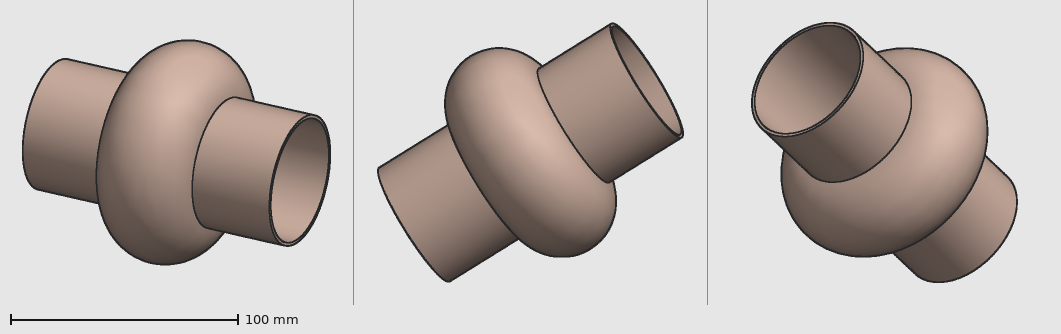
import cadquery as cq

pipe_length = 122.0
pipe_diameter = 59.0
bore_diameter = 56.0

ring_diameter = 100.0
ring_width = 46.0
ring_section_radius = ring_width / 2
ring_center_radius = ring_diameter / 2 - ring_section_radius


def cylinder_along_x(diameter):
    """Cylinder of the full pipe length, centred on the origin."""
    return cq.Workplane("YZ").circle(diameter / 2).extrude(pipe_length / 2, both=True)


def rounded_ring():
    """Disc along X with a fully rounded rim."""
    return (
        cq.Workplane("XY")
        .moveTo(-ring_section_radius, 0)
        .lineTo(-ring_section_radius, ring_center_radius)
        .threePointArc((0, ring_diameter / 2), (ring_section_radius, ring_center_radius))
        .lineTo(ring_section_radius, 0)
        .close()
        .revolve(360, (0, 0, 0), (1, 0, 0))
    )


body = cylinder_along_x(pipe_diameter).union(rounded_ring())
result = body.cut(cylinder_along_x(bore_diameter))